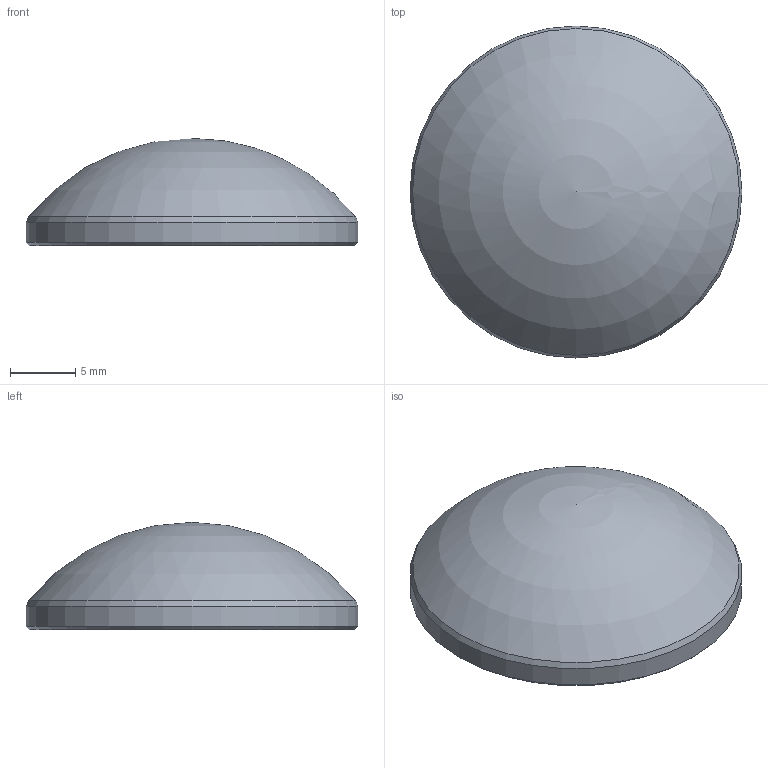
import cadquery as cq
import math

diameter = 25.4
total_height = 8.2
dome_rim_diameter = 25.0
dome_rim_height = 2.22
upper_bevel_height = 0.45
lower_chamfer = 0.25

radius = diameter / 2
dome_rim_radius = dome_rim_diameter / 2
edge_top = dome_rim_height - upper_bevel_height

dome_sag = total_height - dome_rim_height
sphere_radius = (dome_rim_radius**2 + dome_sag**2) / (2 * dome_sag)
sphere_center_z = total_height - sphere_radius

mid_angle = math.asin(dome_rim_radius / sphere_radius) / 2
dome_mid = (
    sphere_radius * math.sin(mid_angle),
    sphere_center_z + sphere_radius * math.cos(mid_angle),
)


def lens_half_profile():
    """Closed half section in the XZ plane, from the axis out to the rim."""
    return (
        cq.Workplane("XZ")
        .moveTo(0, 0)
        .lineTo(radius - lower_chamfer, 0)
        .lineTo(radius, lower_chamfer)
        .lineTo(radius, edge_top)
        .lineTo(dome_rim_radius, dome_rim_height)
        .threePointArc(dome_mid, (0, total_height))
        .close()
    )


result = lens_half_profile().revolve(360, (0, 0, 0), (0, 1, 0))